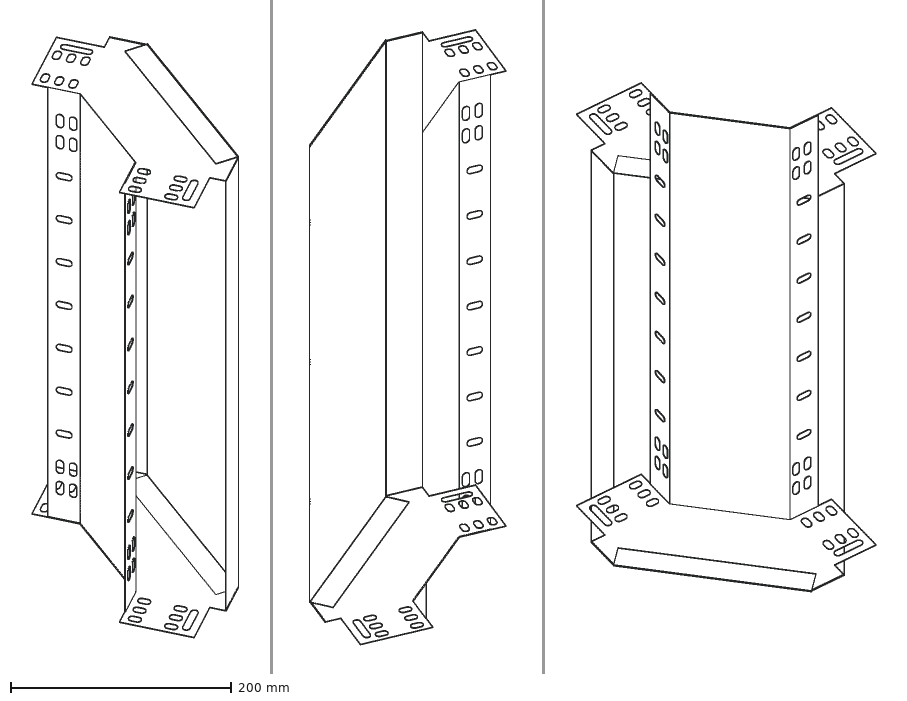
import cadquery as cq
import math

side = 211.5
height = 503.0
sheet = 0.8

arm_length = 46.0
arm_width = 71.5
step_out = 15.5
shoulder = 36.0
wall_setback = 15.0
lip_depth = 23.0

slot_width = 7.0
short_slot_length = 12.0
short_slot_pitch = 13.5
short_slot_count = 3
first_short_slot = 8.5
short_slot_rows = (24.5, 59.5)
long_slot_length = 30.0
long_slot_row = 11.0

wall_slot_length = 15.0
upright_slot_places = (11.5, 24.0)
upright_slot_heights = (189.0, 214.0)
level_slot_place = 15.5
level_slot_span = 300.0
level_slot_count = 7

half = side / 2
plate_top = height / 2 - sheet
arm_edge = half - step_out
inner_edge = arm_edge - arm_width
inner_corner = -half + arm_length
diagonal_start = inner_corner + shoulder
wall_start = -half + wall_setback
bend_shift = sheet * math.tan(math.pi / 8)


def mirrored(points):
    """Outline made of the points and their reflection in the line Y = X."""
    return points + [(y, x) for x, y in reversed(points)]


def both_arms(cutter):
    """The cutter of the -X arm together with its reflection in the line Y = X, for the -Y arm."""
    turned = cutter.rotate((0, 0, 0), (0, 0, 1), 90).mirror("YZ")
    return cutter.union(turned)


def prism(outline, bottom, top):
    return cq.Workplane("XY").workplane(offset=bottom).polyline(outline).close().extrude(top - bottom)


def sheet_pair(outline, outer_face):
    """Two level sheets, with their outer faces this far above and below mid-height."""
    upper = prism(outline, outer_face - sheet, outer_face)
    return upper.union(upper.mirror("XY"))


def make_plates():
    """Top and bottom plates, set back along the diagonal to clear the outer wall."""
    outline = mirrored([
        (inner_corner, inner_edge),
        (-half, inner_edge),
        (-half, arm_edge),
        (inner_corner, arm_edge),
        (inner_corner, half),
        (diagonal_start - sheet * math.sqrt(2), half),
    ])
    return sheet_pair(outline, plate_top)


def make_inner_wall():
    near_face = mirrored([(wall_start, inner_edge), (inner_corner, inner_edge)])
    far_face = mirrored([
        (wall_start, inner_edge + sheet),
        (inner_corner + bend_shift, inner_edge + sheet),
    ])
    return prism(near_face + far_face[::-1], -plate_top, plate_top)


def plate_slots():
    first = -half + first_short_slot
    short_places = [
        (first + i * short_slot_pitch, arm_edge - row)
        for i in range(short_slot_count)
        for row in short_slot_rows
    ]
    long_place = (-half + arm_length / 2, arm_edge - long_slot_row)
    floor = cq.Workplane("XY").workplane(offset=-height / 2)
    short_slots = floor.pushPoints(short_places).slot2D(short_slot_length, slot_width, 90).extrude(height)
    long_slot = floor.pushPoints([long_place]).slot2D(long_slot_length, slot_width).extrude(height)
    return both_arms(short_slots.union(long_slot))


def wall_slots():
    upright_places = [
        (wall_start + place, side_of_middle * z)
        for place in upright_slot_places
        for z in upright_slot_heights
        for side_of_middle in (-1, 1)
    ]
    level_slot_pitch = level_slot_span / (level_slot_count - 1)
    level_places = [
        (wall_start + level_slot_place, i * level_slot_pitch - level_slot_span / 2)
        for i in range(level_slot_count)
    ]
    depth = 3 * sheet
    behind = cq.Workplane("XZ", origin=(0, inner_edge + 2 * sheet, 0))
    upright = behind.pushPoints(upright_places).slot2D(wall_slot_length, slot_width, 90).extrude(depth)
    level = behind.pushPoints(level_places).slot2D(wall_slot_length, slot_width).extrude(depth)
    return both_arms(upright.union(level))


def make_tray():
    """Slotted inner wall with a slotted plate along its top and its bottom edge."""
    return make_inner_wall().union(make_plates()).cut(plate_slots()).cut(wall_slots())


def make_cover():
    """Outer wall that closes the bend, with a lip over each plate along the diagonal."""
    outer_face = mirrored([(inner_corner, half), (diagonal_start, half)])
    inner_face = mirrored([
        (inner_corner, half - sheet),
        (diagonal_start - bend_shift, half - sheet),
    ])
    wall = prism(outer_face + inner_face[::-1], -plate_top, plate_top)

    reach = lip_depth / math.sqrt(2)
    lip_outline = mirrored([(diagonal_start - reach, half - reach), (diagonal_start, half)])
    lips = sheet_pair(lip_outline, height / 2)

    return wall.cut(make_plates()).union(lips)


tray = make_tray()
cover = make_cover()

result = cq.Compound.makeCompound([tray.val(), cover.val()])